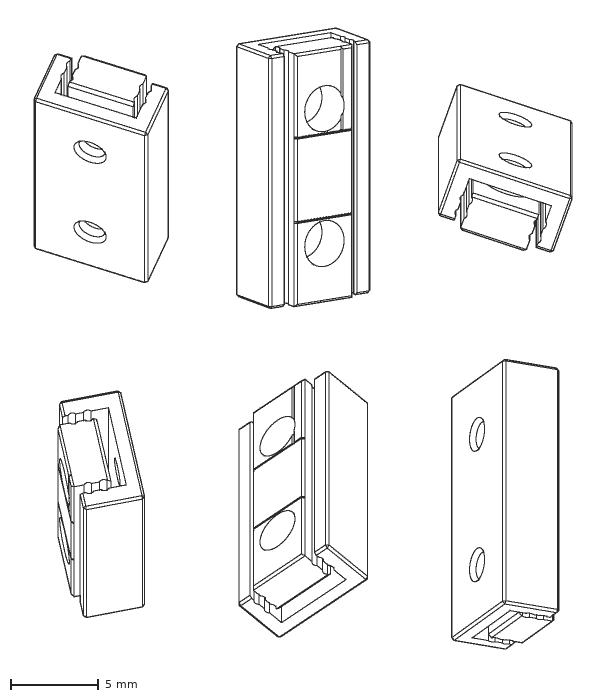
import cadquery as cq
import math

length = 15.0
edge_chamfer = 0.15

rail_width = 7.0
rail_depth = 3.6
channel_width = 5.0
floor_thickness = 0.9

carriage_width = 4.0
carriage_back = 1.7
carriage_front = 4.0
back_chamfer = 0.2

raceway_positions = (2.15, 3.05)
raceway_radius = 0.28
raceway_depth = 0.1

hole_diameter = 1.6
hole_mouth_diameter = 1.98
countersink_angle = 60.0
hole_spacing = 8.0
access_diameter = 2.72
hole_heights = [length / 2 + side * hole_spacing / 2 for side in (-1, 1)]

slot_width = 0.1
slot_depth = edge_chamfer
slot_heights = (length / 3, length * 2 / 3)
vee_x = -1.22
vee_width = 0.15
vee_depth = 0.12


def block(width, y_back, y_front):
    """Full-length block centred on X between two Y planes."""
    blank = cq.Workplane("XY").box(width, y_front - y_back, length, centered=(True, False, False))
    return blank.translate((0, y_back, 0))


def cylinder_along_y(diameter, height, y_start, y_end):
    """Cylinder on the X = 0 plane, parallel to Y, at the given height."""
    return cq.Workplane(
        cq.Solid.makeCylinder(
            diameter / 2, y_end - y_start, cq.Vector(0, y_start, height), cq.Vector(0, 1, 0)
        )
    )


def raceway_cutters(wall_x, into_wall):
    """Rods that cut the raceways into walls at X = +-wall_x; into_wall is +1 outward, -1 inward."""
    axis_x = wall_x + into_wall * (raceway_depth - raceway_radius)
    axes = [(side * axis_x, y) for side in (-1, 1) for y in raceway_positions]
    return cq.Workplane("XY").pushPoints(axes).circle(raceway_radius).extrude(length)


def hole_cutter(height):
    """Countersunk mounting hole through the rail floor."""
    half_angle = math.radians(countersink_angle / 2)
    countersink_depth = (hole_mouth_diameter - hole_diameter) / 2 / math.tan(half_angle)
    countersink = cq.Workplane(
        cq.Solid.makeCone(
            hole_mouth_diameter / 2,
            hole_diameter / 2,
            countersink_depth,
            cq.Vector(0, 0, height),
            cq.Vector(0, 1, 0),
        )
    )
    return cylinder_along_y(hole_diameter, height, 0, floor_thickness).union(countersink)


def make_rail():
    rail = block(rail_width, 0, rail_depth).edges().chamfer(edge_chamfer)
    rail = rail.cut(block(channel_width, floor_thickness, rail_depth))
    rail = rail.cut(raceway_cutters(channel_width / 2, 1))
    for height in hole_heights:
        rail = rail.cut(hole_cutter(height))
    return rail


def vee_groove():
    """Fine V groove on the outer face, from the upper index slot to the top end."""
    start = slot_heights[-1]
    return (
        cq.Workplane("XY", origin=(vee_x, carriage_front, start))
        .polyline([(-vee_width / 2, 0), (vee_width / 2, 0), (0, -vee_depth)])
        .close()
        .extrude(length - start)
    )


def make_carriage():
    carriage = block(carriage_width, carriage_back, carriage_front)
    carriage = carriage.faces(">Y").edges().chamfer(edge_chamfer)
    carriage = carriage.faces("<Y").edges("|X").chamfer(back_chamfer)
    carriage = carriage.cut(raceway_cutters(carriage_width / 2, -1))
    for height in hole_heights:
        carriage = carriage.cut(cylinder_along_y(access_diameter, height, carriage_back, carriage_front))
    for height in slot_heights:
        slot = cq.Workplane("XY").box(carriage_width, 2 * slot_depth, slot_width)
        carriage = carriage.cut(slot.translate((0, carriage_front, height)))
    return carriage.cut(vee_groove())


rail = make_rail()
carriage = make_carriage()

result = cq.Compound.makeCompound([rail.val(), carriage.val()])